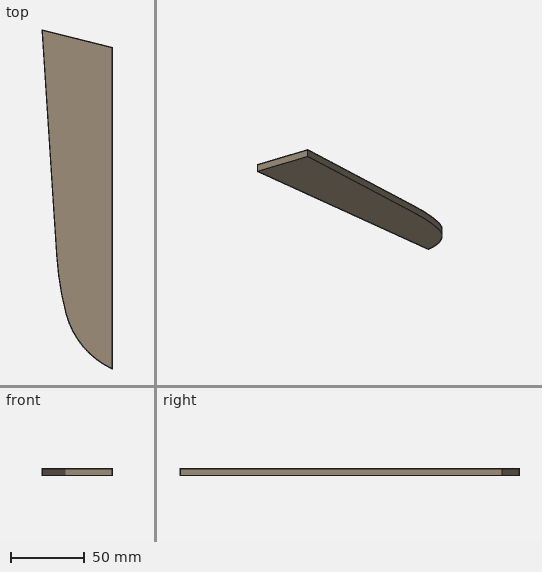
import cadquery as cq
import math

width = 47.93
length = 230.7
thickness = 4.8

butt_angle = 14.0
butt_drop = width * math.tan(math.radians(butt_angle))

taper_angle = 3.71
taper_end_y = 77.1
taper_end_x = (length - taper_end_y) * math.tan(math.radians(taper_angle))
bend_end_x = 16.2
bend_end_y = 38.1


def blade_outline():
    """Closed outline with the pointed tip at the lower right corner."""
    return (
        cq.Workplane("XY")
        .moveTo(width, 0)
        .lineTo(width, length - butt_drop)
        .lineTo(0, length)
        .lineTo(taper_end_x, taper_end_y)
        .tangentArcPoint((bend_end_x, bend_end_y), relative=False)
        .tangentArcPoint((width, 0), relative=False)
        .close()
    )


result = blade_outline().extrude(thickness)